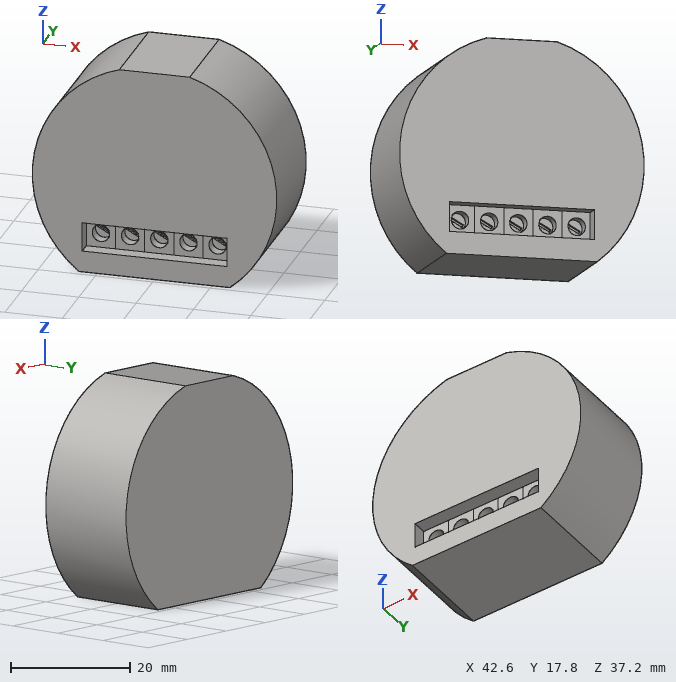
import cadquery as cq
import math

housing_radius = 21.3
housing_depth = 17.8
housing_height = 37.16
top_flat_z = 20.4
bottom_flat_z = top_flat_z - housing_height
top_flat_half = math.sqrt(housing_radius**2 - top_flat_z**2)
bottom_flat_half = math.sqrt(housing_radius**2 - bottom_flat_z**2)

terminal_count = 5
terminal_pitch = 5.08
terminal_height = 5.08
terminal_depth = 10.0
terminal_setback = 2.5
height_below_terminals = 3.76
terminal_bottom_z = bottom_flat_z + height_below_terminals
terminal_center_z = terminal_bottom_z + terminal_height / 2
row_width = terminal_count * terminal_pitch

opening_width = 25.2
row_left_x = -opening_width / 2

screw_hole_diameter = 3.0
screw_hole_depth = 2.0
slot_length = 2.4
slot_width = 0.5
slot_depth = 0.5
slot_angle = -29.0


def box_from_corner(x, y, z, width, depth, height):
    """Box that extends towards +X, +Y and +Z from the given corner."""
    return cq.Workplane("XY", origin=(x, y, z)).box(width, depth, height, centered=False)


def front_plane(x, y, z):
    """Workplane facing the front (-Y), with X to the right and Z up."""
    return cq.Workplane("XZ", origin=(x, y, z))


def make_housing():
    body = (
        front_plane(0, 0, 0)
        .moveTo(-bottom_flat_half, bottom_flat_z)
        .lineTo(bottom_flat_half, bottom_flat_z)
        .threePointArc((housing_radius, 0), (top_flat_half, top_flat_z))
        .lineTo(-top_flat_half, top_flat_z)
        .threePointArc((-housing_radius, 0), (-bottom_flat_half, bottom_flat_z))
        .close()
        .extrude(-housing_depth)
    )
    opening = box_from_corner(
        row_left_x, 0, terminal_bottom_z, opening_width, terminal_setback, terminal_height
    )
    terminal_seat = box_from_corner(
        row_left_x, terminal_setback, terminal_bottom_z, row_width, terminal_depth, terminal_height
    )
    return body.cut(opening).cut(terminal_seat)


def make_terminal(left_x):
    block = box_from_corner(
        left_x, terminal_setback, terminal_bottom_z, terminal_pitch, terminal_depth, terminal_height
    )
    center_x = left_x + terminal_pitch / 2
    screw_hole = (
        front_plane(center_x, terminal_setback, terminal_center_z)
        .circle(screw_hole_diameter / 2)
        .extrude(-screw_hole_depth)
    )
    screw_slot = (
        front_plane(center_x, terminal_setback + screw_hole_depth, terminal_center_z)
        .transformed(rotate=(0, 0, slot_angle))
        .rect(slot_length, slot_width)
        .extrude(-slot_depth)
    )
    return block.cut(screw_hole).cut(screw_slot)


housing = make_housing()
terminals = [make_terminal(row_left_x + index * terminal_pitch) for index in range(terminal_count)]

result = cq.Compound.makeCompound([housing.val(), *[terminal.val() for terminal in terminals]])